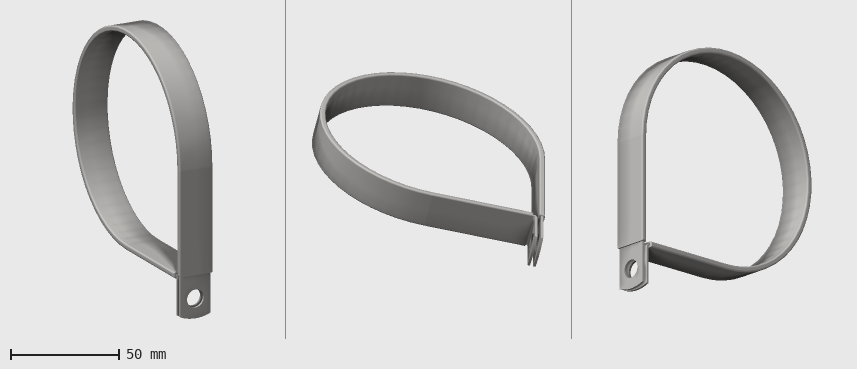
import cadquery as cq
import math

overall_height = 126.5
overall_length = 107.2
cushion_width = 17.5

strap_thickness = 1.1
strap_width = 15.8
cushion_thickness = 2.8
edge_radius = (cushion_width - strap_width) / 2

loop_radius = (overall_length - cushion_thickness) / 2
tab_bottom = overall_length / 2 - overall_height
vertical_cushion_end = -51.6
horizontal_cushion_end = 48.1

bend_radius = 1.9
inner_tab_x = 49.5
bend_start = inner_tab_x - bend_radius
hole_diameter = 8.7
hole_z = -63.3
tip_rise = 1.6


def band(vertical_end, horizontal_end, thickness, width):
    """Three-quarter loop with two straight legs, centred on the XZ plane."""
    outer = loop_radius + thickness / 2
    inner = loop_radius - thickness / 2
    diagonal = math.sqrt(0.5)
    return (
        cq.Workplane("XZ")
        .moveTo(outer, vertical_end)
        .lineTo(outer, 0)
        .threePointArc((-outer * diagonal, outer * diagonal), (0, -outer))
        .lineTo(horizontal_end, -outer)
        .lineTo(horizontal_end, -inner)
        .lineTo(0, -inner)
        .threePointArc((-inner * diagonal, inner * diagonal), (inner, 0))
        .lineTo(inner, vertical_end)
        .close()
        .extrude(width / 2, both=True)
    )


def make_cushion():
    """Rubber band with rounded rims and with rounded corners at both ends."""
    body = band(vertical_cushion_end, horizontal_cushion_end, cushion_thickness, cushion_width)
    rounded_rims = body.faces("<Y or >Y").edges().fillet(edge_radius)
    vertical_end = (loop_radius, 0, vertical_cushion_end)
    horizontal_end = (horizontal_cushion_end, 0, -loop_radius)
    rounded_ends = (
        body.faces(cq.selectors.NearestToPointSelector(vertical_end))
        .edges("|X")
        .fillet(edge_radius)
        .faces(cq.selectors.NearestToPointSelector(horizontal_end))
        .edges("|Z")
        .fillet(edge_radius)
    )
    return rounded_rims.intersect(rounded_ends)


def make_bend():
    """Quarter turn from the horizontal leg down into the inner tab."""
    bend_z = -loop_radius - bend_radius
    outer = bend_radius + strap_thickness / 2
    inner = bend_radius - strap_thickness / 2
    ring = (
        cq.Workplane("XZ")
        .center(bend_start, bend_z)
        .circle(outer)
        .circle(inner)
        .extrude(strap_width / 2, both=True)
    )
    quadrant = cq.Workplane("XY").box(outer, strap_width, outer, centered=(False, True, False))
    return ring.intersect(quadrant.translate((bend_start, 0, bend_z)))


def make_tab(x, top):
    """Drilled tab with a shallow rounded tip."""
    half_width = strap_width / 2
    return (
        cq.Workplane("YZ", origin=(x, 0, 0))
        .moveTo(-half_width, top)
        .lineTo(-half_width, tab_bottom + tip_rise)
        .threePointArc((0, tab_bottom), (half_width, tab_bottom + tip_rise))
        .lineTo(half_width, top)
        .close()
        .moveTo(0, hole_z)
        .circle(hole_diameter / 2)
        .extrude(strap_thickness / 2, both=True)
    )


strap = (
    band(vertical_cushion_end, bend_start, strap_thickness, strap_width)
    .union(make_bend())
    .union(make_tab(inner_tab_x, -loop_radius - bend_radius))
    .union(make_tab(loop_radius, vertical_cushion_end))
)
result = make_cushion().union(strap)